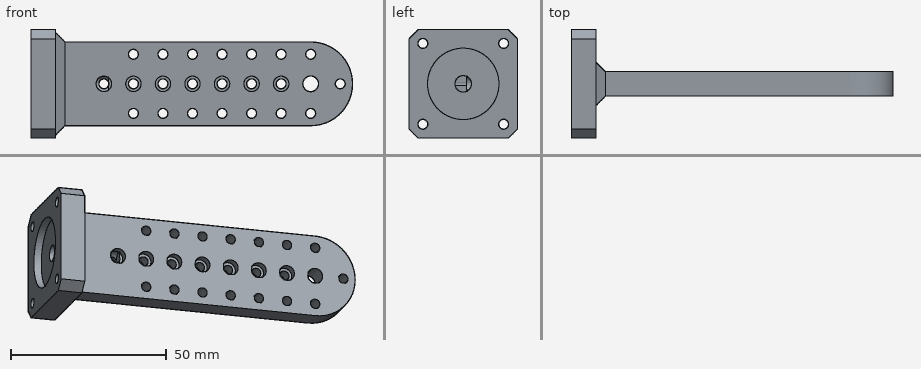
import cadquery as cq

total_length = 103.5
plate_size = 35.0
plate_thickness = 8.0
corner_chamfer = 3.0
mount_hole_spacing = 26.0

recess_diameter = 23.0
recess_depth = 2.5
axial_bore_diameter = 5.3
axial_bore_end = 24.9

arm_width = 27.0
arm_thickness = 8.0
tip_center_x = total_length - arm_width / 2
flare_size = 3.0

hole_diameter = 3.1
counterbore_diameter = 5.0
counterbore_depth = 2.9
first_hole_x = 23.5
column_count = 8
hole_pitch = (tip_center_x - first_hole_x) / (column_count - 1)


def arm_hole_tool(x, z, diameter, depth=arm_thickness):
    """Cylinder sunk along +Y from the arm's -Y face."""
    face = cq.Plane(origin=(x, -arm_thickness / 2, z), normal=(0, 1, 0))
    return cq.Workplane(face).circle(diameter / 2).extrude(depth)


def axial_tool(diameter, depth):
    """Cylinder sunk along +X from the plate's outer face."""
    return cq.Workplane("YZ").circle(diameter / 2).extrude(depth)


plate = (
    cq.Workplane("YZ")
    .rect(plate_size, plate_size)
    .extrude(plate_thickness)
    .edges("|X")
    .chamfer(corner_chamfer)
)

arm = (
    cq.Workplane("XZ")
    .moveTo(plate_thickness, arm_width / 2)
    .lineTo(tip_center_x, arm_width / 2)
    .threePointArc((total_length, 0), (tip_center_x, -arm_width / 2))
    .lineTo(plate_thickness, -arm_width / 2)
    .close()
    .extrude(arm_thickness / 2, both=True)
)

flare = (
    cq.Workplane("YZ", origin=(plate_thickness, 0, 0))
    .rect(arm_thickness + 2 * flare_size, arm_width + 2 * flare_size)
    .workplane(offset=flare_size)
    .rect(arm_thickness, arm_width)
    .loft(combine=True)
)

result = plate.union(arm).union(flare)

result = result.cut(axial_tool(recess_diameter, recess_depth))
result = result.cut(axial_tool(axial_bore_diameter, axial_bore_end))
mount_holes = (
    cq.Workplane("YZ")
    .rect(mount_hole_spacing, mount_hole_spacing, forConstruction=True)
    .vertices()
    .circle(hole_diameter / 2)
    .extrude(plate_thickness)
)
result = result.cut(mount_holes)

for column in range(column_count - 1):
    x = first_hole_x + column * hole_pitch
    result = result.cut(arm_hole_tool(x, 0, hole_diameter))
    result = result.cut(arm_hole_tool(x, 0, counterbore_diameter, counterbore_depth))
result = result.cut(arm_hole_tool(tip_center_x, 0, counterbore_diameter))
result = result.cut(arm_hole_tool(tip_center_x + hole_pitch, 0, hole_diameter))

for column in range(1, column_count):
    x = first_hole_x + column * hole_pitch
    for z in (-hole_pitch, hole_pitch):
        result = result.cut(arm_hole_tool(x, z, hole_diameter))